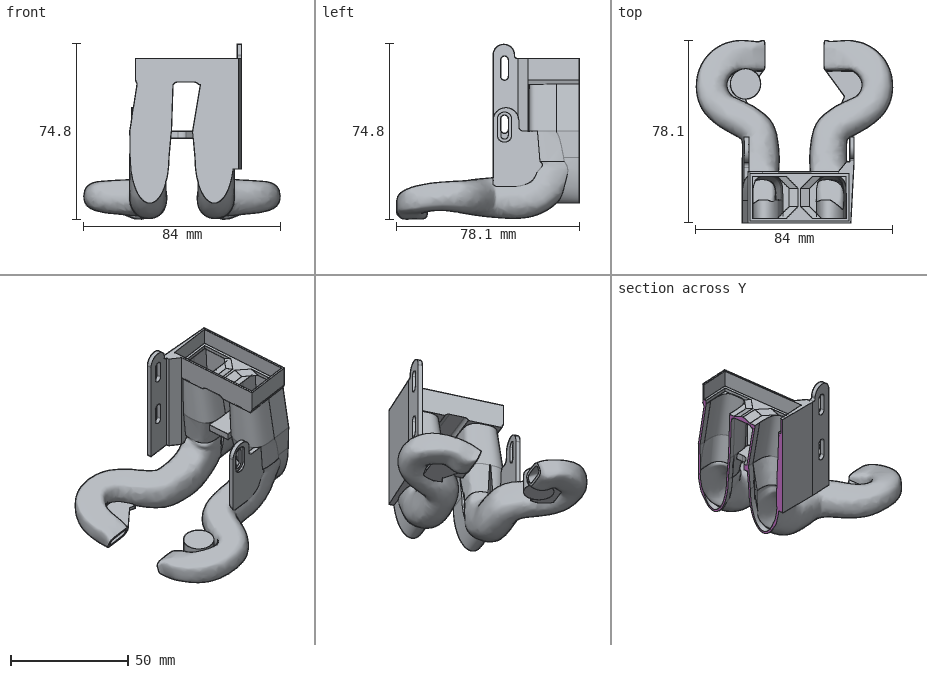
import cadquery as cq
import math

SOCKET_WIDTH = 44.0
SOCKET_DEPTH = 22.0
SOCKET_SHIFT = 2.1
SOCKET_TOP = 68.8
SOCKET_BOTTOM = 59.5
SKIRT_BOTTOM = 57.5
SOCKET_WALL = 0.85
RECESS_DEPTH = 7.5
RECESS_FLOOR = SOCKET_TOP - RECESS_DEPTH
INLET_LENGTH = 40.0
INLET_DEPTH = 17.8
INLET_BAR = 1.15
INLET_CHAMFER = 5.0
INLET_SLOPE_HEIGHT = 1.6
INLET_SLOPE_RUN = 3.8

WALL = 1.2
LEG_TOP = 58.6
WAIST = 37.7
LEG_TOP_X = (5.9, 21.2)
WAIST_X = (4.5, 22.35)
TOE_X = 13.8
TOE_HALF_WIDTH = 8.3
TOE_TOP = 26.5
TOE_BOTTOM = 6.9
FRONT_DEPTH = 9.8
PASSAGE_OVERLAP = 0.2
COLUMN_BACK = 21.5
NOTCH_FILLETS = (2.0, 2.5)

PIVOT_Y = 26.4
PIVOT_Z = 24.8
ELBOW_RADII = (6.6, 24.4)
ELBOW_WIDTH = 15.6
ELBOW_STEPS = 4

NOZZLE_X = 14.6
TURN_OUT = 62.0
S_BEND_RADIUS = 10.0
S_BEND_TAPER = 0.55
CURL_X = 22.5
CURL_Y = 58.8
CURL_RADIUS = 12.9
CURL_STEPS = 5
NOZZLE_START = (15.4, 17.4, 9.3)
CURL_START = (14.0, 14.4, 9.5)
CURL_SIDE = (13.15, 12.2, 9.9)
CURL_END = (12.8, 9.6, 6.2)
TIP = (12.8, 6.4, 3.94)
TIP_X = 13.6
DROOP_POWER = 1.5
TIP_PITCH = 20.0

TIP_SQUARENESS = 4.0
NOZZLE_SQUARENESS = 2.2
COLUMN_SQUARENESS = 3.0
SECTION_POINTS = 16

WEB_BOTTOM = 4.0
WEB_TOP = 5.5
WEB_CORNERS = [(13.4, 65.0), (21.3, 54.2), (20.3, 51.5), (30.0, 50.0), (30.0, 65.0)]
PLUG_DIAMETER = 13.0
PLUG_X = -20.9
PLUG_Y = 59.5
PLUG_TOP = 12.5

EAR_THICKNESS = 2.0
EAR_BACK = 36.9
SLOT_Y = 32.0
SLOT_WIDTH = 3.2
SLOT_LENGTH = 10.2
RIGHT_EAR_OUTSIDE = 25.5
RIGHT_EAR_BOTTOM = 21.5
RIGHT_EAR_TOP = 74.8
RIGHT_EAR_WIDTH = 9.2
RIGHT_EAR_FILLET = 1.0
EAR_FOOT_OVERLAP = 0.5
RIGHT_SLOT_CENTRES = (64.6, 41.9)
LEFT_EAR_OUTSIDE = -21.5
LEFT_EAR_BOTTOM = 14.0
LEFT_EAR_TOP = 47.7
LEFT_EAR_WIDTH = 11.0
LEFT_EAR_FILLET = 2.0
LEFT_EAR_FOOT_Y = 12.0
LEFT_GUSSET_X = -13.6
LEFT_SLOT_CENTRE = 39.4
LEFT_RECESS_WIDTH = 6.1
LEFT_RECESS_LENGTH = 12.9
LEFT_RECESS_DEPTH = 1.0
GUSSET_BACK = 26.3
GUSSET_INSIDE = (18.7, 22.3)

STRUT_THICKNESS = 3.1
STRUT_FRONT = 12.0
STRUT_BACK = 20.0
STRUT_TIP = 1.5
STRUT_BEND_X = 1.7
STRUT_BEND_RADIUS = 4.0

SOCKET_LEFT = SOCKET_SHIFT - SOCKET_WIDTH / 2
SOCKET_RIGHT = SOCKET_SHIFT + SOCKET_WIDTH / 2


def block(x_range, y_range, z_range):
    size = [high - low for low, high in (x_range, y_range, z_range)]
    corner = (x_range[0], y_range[0], z_range[0])
    return cq.Workplane("XY").box(*size, centered=False).translate(corner)


def front_prism(outline, y_start, y_end):
    """Extrude an outline drawn on XZ from y_start to y_end."""
    return outline.extrude(y_start - y_end).translate((0, y_start, 0))


def section(origin, across, along, width, height, squareness):
    """Superellipse on a plane square to `along`; a squareness of 2 gives a true ellipse."""
    plane = cq.Plane(origin=origin, xDir=across, normal=along)
    points = []
    for step in range(SECTION_POINTS):
        angle = 2 * math.pi * step / SECTION_POINTS
        cosine = math.cos(angle)
        sine = math.sin(angle)
        stretch = (abs(cosine) ** squareness + abs(sine) ** squareness) ** (-1 / squareness)
        local = (width / 2 * stretch * cosine, height / 2 * stretch * sine)
        points.append(plane.toWorldCoords(local))
    even_steps = [step / SECTION_POINTS for step in range(SECTION_POINTS + 1)]
    outline = cq.Edge.makeSpline(points, periodic=True, parameters=even_steps)
    return cq.Wire.assembleEdges([outline])


def loft(sections, ruled):
    return cq.Workplane(cq.Solid.makeLoft(sections, ruled))



def leg_sides(side, z, inset):
    """Inner and outer X of a leg between its top and its waist."""
    part = (z - WAIST) / (LEG_TOP - WAIST)
    sides = []
    for top, waist, sign in zip(LEG_TOP_X, WAIST_X, (1, -1)):
        top_x = SOCKET_SHIFT + side * (top + sign * inset)
        waist_x = side * (waist + sign * inset)
        sides.append(waist_x + part * (top_x - waist_x))
    return sides


def leg_front(side, inset, top):
    """Front part of a leg: straight sides above an elliptical toe."""
    y_end = FRONT_DEPTH + (PASSAGE_OVERLAP if inset else 0)
    top_inner, top_outer = leg_sides(side, top, inset)
    waist_inner, waist_outer = leg_sides(side, WAIST, inset)
    toe_half = TOE_HALF_WIDTH - inset
    toe_x = side * TOE_X
    toe_depth = TOE_TOP - TOE_BOTTOM - inset
    sides = (
        cq.Workplane("XZ")
        .moveTo(top_inner, top)
        .lineTo(waist_inner, WAIST)
        .lineTo(toe_x - side * toe_half, TOE_TOP)
        .lineTo(toe_x + side * toe_half, TOE_TOP)
        .lineTo(waist_outer, WAIST)
        .lineTo(top_outer, top)
        .close()
    )
    toe = cq.Workplane("XZ").center(toe_x, TOE_TOP).ellipse(toe_half, toe_depth)
    return front_prism(sides, inset, y_end).union(front_prism(toe, inset, y_end))


def column(side, inset, top):
    """Part of a leg above the elbow, with rounded rear corners."""
    front, elbow_back = (PIVOT_Y - radius for radius in reversed(ELBOW_RADII))
    elbow_sides = [side * (NOZZLE_X + sign * (ELBOW_WIDTH / 2 - inset)) for sign in (-1, 1)]
    levels = [
        (top, COLUMN_BACK, leg_sides(side, top, inset)),
        (WAIST, COLUMN_BACK, leg_sides(side, WAIST, inset)),
        (PIVOT_Z, elbow_back, elbow_sides),
    ]
    sections = []
    for z, back, (inner, outer) in levels:
        centre = ((inner + outer) / 2, (front + back) / 2, z)
        size = (abs(outer - inner), back - front - 2 * inset)
        sections.append(section(centre, (1, 0, 0), (0, 0, -1), *size, COLUMN_SQUARENESS))
    return loft(sections, True)



def blend(start, end, part):
    return [a + part * (b - a) for a, b in zip(start, end)]


def level_section(x, y, heading, pitch, shape, inset, squareness=NOZZLE_SQUARENESS):
    """Nozzle section; heading turns from +Y toward +X, pitch tilts it downward."""
    width, height, z = shape
    turn = math.radians(heading)
    dip = math.radians(pitch)
    across = (math.cos(turn), -math.sin(turn), 0)
    along = (math.sin(turn) * math.cos(dip), math.cos(turn) * math.cos(dip), -math.sin(dip))
    return section((x, y, z), across, along, width - 2 * inset, height - 2 * inset, squareness)


def nozzle(inset):
    """Elbow, S-bend and curl of the right nozzle as one smooth loft."""
    sections = []
    radius = sum(ELBOW_RADII) / 2
    thickness = ELBOW_RADII[1] - ELBOW_RADII[0] - 2 * inset
    for step in range(ELBOW_STEPS):
        part = step / ELBOW_STEPS
        angle = part * math.pi / 2
        origin = (NOZZLE_X, PIVOT_Y - radius * math.cos(angle), PIVOT_Z - radius * math.sin(angle))
        along = (0, math.sin(angle), -math.cos(angle))
        squareness = COLUMN_SQUARENESS + part * (NOZZLE_SQUARENESS - COLUMN_SQUARENESS)
        sections.append(section(origin, (1, 0, 0), along, ELBOW_WIDTH - 2 * inset, thickness, squareness))

    turn = math.radians(TURN_OUT)
    curl_start_x = CURL_X + CURL_RADIUS * math.cos(turn)
    curl_start_y = CURL_Y - CURL_RADIUS * math.sin(turn)
    bend_end_x = NOZZLE_X + S_BEND_RADIUS * (1 - math.cos(turn))
    bend_end_y = curl_start_y - (curl_start_x - bend_end_x) / math.tan(turn)
    bend_start_y = bend_end_y - S_BEND_RADIUS * math.sin(turn)
    for part in (0, 0.5, 1):
        angle = part * turn
        x = NOZZLE_X + S_BEND_RADIUS * (1 - math.cos(angle))
        y = bend_start_y + S_BEND_RADIUS * math.sin(angle)
        shape = blend(NOZZLE_START, CURL_START, part * S_BEND_TAPER)
        sections.append(level_section(x, y, part * TURN_OUT, 0, shape, inset))

    for step in range(CURL_STEPS + 1):
        heading = TURN_OUT - step / CURL_STEPS * (TURN_OUT + 90)
        angle = math.radians(heading)
        x = CURL_X + CURL_RADIUS * math.cos(angle)
        y = CURL_Y - CURL_RADIUS * math.sin(angle)
        squareness = NOZZLE_SQUARENESS
        if heading > 0:
            shape = blend(CURL_SIDE, CURL_START, heading / TURN_OUT)
            pitch = 0
        else:
            part = -heading / 90
            shape = blend(CURL_SIDE, CURL_END, part ** DROOP_POWER)
            pitch = part * TIP_PITCH
            squareness += part * (TIP_SQUARENESS - NOZZLE_SQUARENESS)
        sections.append(level_section(x, y, heading, pitch, shape, inset, squareness))

    tip_y = CURL_Y + CURL_RADIUS
    sections.append(level_section(TIP_X, tip_y, -90, TIP_PITCH, TIP, inset, TIP_SQUARENESS))
    return loft(sections, False)


def curl_web():
    return (
        cq.Workplane("XY").workplane(offset=WEB_BOTTOM)
        .polyline(WEB_CORNERS).close()
        .extrude(WEB_TOP - WEB_BOTTOM)
    )



def notch():
    """Gap between the legs, with rounded upper corners."""
    waist = WAIST_X[0]
    left = SOCKET_SHIFT - LEG_TOP_X[0]
    right = SOCKET_SHIFT + LEG_TOP_X[0]
    outline = (
        cq.Workplane("XZ")
        .polyline([(-waist, WAIST), (left, LEG_TOP), (right, LEG_TOP), (waist, WAIST)])
        .close()
    )
    gap = front_prism(outline, 0, SOCKET_DEPTH)
    for x, radius in zip((left, right), NOTCH_FILLETS):
        corner = cq.selectors.NearestToPointSelector((x, SOCKET_DEPTH / 2, LEG_TOP))
        gap = gap.edges(corner).fillet(radius)
    return gap


def socket():
    """Box of the socket and the skirt that narrows it to the legs."""
    body = block((SOCKET_LEFT, SOCKET_RIGHT), (0, SOCKET_DEPTH), (SOCKET_BOTTOM, SOCKET_TOP))
    right_side = SOCKET_SHIFT + LEG_TOP_X[1]
    left_side = SOCKET_SHIFT - LEG_TOP_X[1]
    outline = (
        cq.Workplane("XZ")
        .polyline([
            (SOCKET_LEFT, SOCKET_BOTTOM),
            (left_side, SKIRT_BOTTOM),
            (right_side, SKIRT_BOTTOM),
            (SOCKET_RIGHT, SOCKET_BOTTOM),
        ])
        .close()
    )
    return body.union(front_prism(outline, 0, SOCKET_DEPTH)).cut(notch())


def inlet(side):
    """Opening in the recess floor, with a slope that leads away from the middle bar."""
    y_mid = SOCKET_DEPTH / 2
    half = INLET_DEPTH / 2
    outer = INLET_LENGTH / 2

    def outline(level, bar_side):
        points = [
            (outer, -half),
            (bar_side + INLET_CHAMFER, -half),
            (bar_side, -half + INLET_CHAMFER),
            (bar_side, half - INLET_CHAMFER),
            (bar_side + INLET_CHAMFER, half),
            (outer, half),
        ]
        return cq.Wire.makePolygon(
            [cq.Vector(SOCKET_SHIFT + side * x, y_mid + y, level) for x, y in points], close=True)

    bar_side = INLET_BAR / 2
    return loft([
        outline(RECESS_FLOOR, bar_side),
        outline(RECESS_FLOOR - INLET_SLOPE_HEIGHT, bar_side + INLET_SLOPE_RUN),
    ], True)


def socket_recess():
    return block(
        (SOCKET_LEFT + SOCKET_WALL, SOCKET_RIGHT - SOCKET_WALL),
        (SOCKET_WALL, SOCKET_DEPTH - SOCKET_WALL),
        (RECESS_FLOOR, SOCKET_TOP),
    )



def slot(centre_z, length, width, x_range):
    return (
        cq.Workplane("YZ").workplane(offset=x_range[0])
        .center(SLOT_Y, centre_z)
        .slot2D(length, width, 90)
        .extrude(x_range[1] - x_range[0])
    )


def ear(outside, inside, z_range, width, foot_y, foot_z, fillet):
    """Upright plate with a round top that steps down to a foot toward the front."""
    radius = width / 2
    front = EAR_BACK - width
    top = z_range[1]
    low, high = sorted((outside, inside))
    return (
        cq.Workplane("YZ").workplane(offset=low)
        .moveTo(EAR_BACK, z_range[0])
        .lineTo(EAR_BACK, top - radius)
        .threePointArc((EAR_BACK - radius, top), (front, top - radius))
        .lineTo(front, foot_z + fillet)
        .radiusArc((front - fillet, foot_z), fillet)
        .lineTo(foot_y, foot_z)
        .lineTo(foot_y, z_range[0])
        .close()
        .extrude(high - low)
    )


def right_ear():
    inside = RIGHT_EAR_OUTSIDE - EAR_THICKNESS
    plate = ear(RIGHT_EAR_OUTSIDE, inside, (RIGHT_EAR_BOTTOM, RIGHT_EAR_TOP), RIGHT_EAR_WIDTH,
                GUSSET_BACK - EAR_FOOT_OVERLAP, SOCKET_TOP, RIGHT_EAR_FILLET)
    for centre_z in RIGHT_SLOT_CENTRES:
        plate = plate.cut(slot(centre_z, SLOT_LENGTH, SLOT_WIDTH, (inside, RIGHT_EAR_OUTSIDE)))
    gusset = (
        cq.Workplane("XY").workplane(offset=RIGHT_EAR_BOTTOM)
        .polyline([
            (GUSSET_INSIDE[0], 0),
            (SOCKET_RIGHT, 0),
            (RIGHT_EAR_OUTSIDE, GUSSET_BACK),
            (GUSSET_INSIDE[1], GUSSET_BACK),
            (GUSSET_INSIDE[0], SOCKET_DEPTH),
        ])
        .close()
        .extrude(SOCKET_TOP - RIGHT_EAR_BOTTOM)
    )
    return plate.union(gusset)


def left_ear():
    inside = LEFT_EAR_OUTSIDE + EAR_THICKNESS
    plate = ear(LEFT_EAR_OUTSIDE, inside, (LEFT_EAR_BOTTOM, LEFT_EAR_TOP), LEFT_EAR_WIDTH,
                LEFT_EAR_FOOT_Y, WAIST, LEFT_EAR_FILLET)
    gusset = (
        cq.Workplane("XY").workplane(offset=WAIST)
        .polyline([
            (inside, LEFT_EAR_FOOT_Y),
            (inside, SOCKET_DEPTH + inside - LEFT_GUSSET_X),
            (LEFT_GUSSET_X, SOCKET_DEPTH),
            (LEFT_GUSSET_X, LEFT_EAR_FOOT_Y),
        ])
        .close()
        .extrude(LEFT_EAR_BOTTOM - WAIST)
    )
    recess = slot(LEFT_SLOT_CENTRE, LEFT_RECESS_LENGTH, LEFT_RECESS_WIDTH,
                  (LEFT_EAR_OUTSIDE, LEFT_EAR_OUTSIDE + LEFT_RECESS_DEPTH))
    hole = slot(LEFT_SLOT_CENTRE, SLOT_LENGTH, SLOT_WIDTH, (LEFT_EAR_OUTSIDE, inside))
    return plate.union(gusset).cut(recess).cut(hole)


def strut():
    """Bar between the legs; its front face turns forward along the right leg."""
    half = WAIST_X[0] + WALL / 2
    return (
        cq.Workplane("XY").workplane(offset=WAIST - STRUT_THICKNESS)
        .moveTo(-half, STRUT_FRONT)
        .lineTo(-STRUT_BEND_X, STRUT_FRONT)
        .radiusArc((STRUT_BEND_X, STRUT_FRONT - STRUT_BEND_X), STRUT_BEND_RADIUS)
        .lineTo(half, STRUT_TIP)
        .lineTo(half, STRUT_BACK)
        .lineTo(-half, STRUT_BACK)
        .close()
        .extrude(STRUT_THICKNESS)
    )



def plug():
    return (
        cq.Workplane("XY").workplane(offset=WEB_BOTTOM)
        .center(PLUG_X, PLUG_Y)
        .circle(PLUG_DIAMETER / 2)
        .extrude(PLUG_TOP - WEB_BOTTOM)
    )


def outer_body():
    """Everything filled solid, before the air passages are cut."""
    right_nozzle = nozzle(0).union(curl_web())
    body = socket().union(right_ear()).union(left_ear()).union(strut())
    for side in (-1, 1):
        body = body.union(leg_front(side, 0, LEG_TOP)).union(column(side, 0, LEG_TOP))
    return body.union(right_nozzle).union(right_nozzle.mirror("YZ"))


def duct():
    inside_top = RECESS_FLOOR - INLET_SLOPE_HEIGHT
    bore = nozzle(WALL)
    body = outer_body().cut(socket_recess())
    for side in (-1, 1):
        body = body.cut(leg_front(side, WALL, inside_top))
        body = body.cut(column(side, WALL, inside_top))
        body = body.cut(inlet(side))
    return body.cut(bore).cut(bore.mirror("YZ"))


plug_body = plug()
duct_body = duct().cut(plug_body)
result = cq.Compound.makeCompound([duct_body.val(), plug_body.val()])